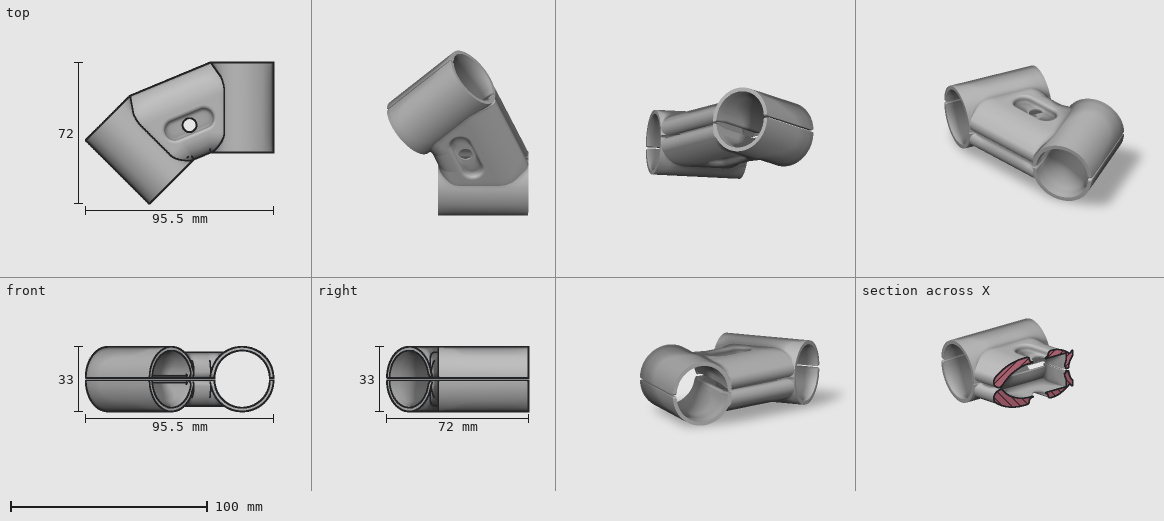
import cadquery as cq
import math


sleeve_radius = 16.0
wall = 2.0
bore_radius = sleeve_radius - wall
sleeve_length = 45.9
sleeve_spacing = 56.3
sleeve_tilt = 22.5
split_gap = 1.0
outer_end_round = 1.0

web_height = 13.2
front_top_round = 10.1
front_split_round = web_height - front_top_round
back_top_round = 22.0
back_split_round = 4.1

cavity_height = 9.1
front_wall = 3.25
back_wall = 4.6
cavity_back_round = 18.15

notch_depth = 1.2
notch_ramp_length = 10.0
notch_lip_round = 1.0

seat_spacing = 16.0
seat_radius = 5.1
seat_lip_round = 1.7
seat_floor_round = 1.6
seat_depth = seat_lip_round + seat_floor_round
seat_from_back = 24.9
bolt_hole_diameter = 7.0
bolt_hole_from_back = 25.4

half_length = sleeve_length / 2
tilt = math.radians(sleeve_tilt)
half_root = math.sqrt(0.5)
tolerance = 0.01


def on_sleeve(along, across):
    """Plan point of the +X sleeve: along its axis, and across it (outward positive)."""
    x = sleeve_spacing / 2 + along * math.sin(tilt) + across * math.cos(tilt)
    y = along * math.cos(tilt) - across * math.sin(tilt)
    return (x, y)


def opposite(point):
    """The same plan point on the -X sleeve."""
    return (-point[0], point[1])


center = on_sleeve(0, 0)
back_corner = on_sleeve(half_length, -sleeve_radius)
front_corner = on_sleeve(-half_length, -sleeve_radius)
front_end = on_sleeve(-half_length, 0)
back_y = back_corner[1]
front_y = front_corner[1]
front_edge = [front_end, front_corner, opposite(front_corner), opposite(front_end)]


def place_on_sleeve(shape):
    """Move a shape made along the Y axis onto the +X sleeve axis."""
    return shape.rotate((0, 0, 0), (0, 0, 1), -sleeve_tilt).translate((*center, 0))


def sleeve_bar(radius):
    """Half-round bar on the +X sleeve axis, flat side on the split face."""
    bar = cq.Workplane("XZ").moveTo(-radius, 0).threePointArc((0, radius), (radius, 0)).close()
    bar = bar.extrude(half_length, both=True)
    return place_on_sleeve(bar)


def with_mirror(shape):
    """A shape on the +X side together with its copy on the -X side."""
    return shape.union(shape.mirror("YZ"))


def web_profile():
    """Side profile of the web, extruded along X: flat top, rounded down to the split at the back."""
    cos_join = (back_top_round + back_split_round - web_height) / (back_top_round - back_split_round)
    join = math.acos(cos_join)
    low_y = back_y - back_split_round
    low_z = back_split_round
    top_y = low_y - (back_top_round - back_split_round) * math.sin(join)
    top_z = web_height - back_top_round

    def top_arc(angle):
        return (top_y + back_top_round * math.sin(angle), top_z + back_top_round * math.cos(angle))

    return (
        cq.Workplane("YZ")
        .moveTo(front_y - sleeve_length, 0)
        .lineTo(low_y, 0)
        .threePointArc((back_y, low_z), top_arc(join))
        .threePointArc(top_arc(join / 2), top_arc(0))
        .lineTo(front_y - sleeve_length, web_height)
        .close()
        .extrude(sleeve_spacing, both=True)
    )


def edge_cutter(points, radius, up):
    """Waste left outside a round along a chain of edges; up is 1 for a lower edge, -1 for an upper one."""
    start = cq.Vector(*points[0], 0)
    direction = cq.Vector(*points[1], 0) - start
    inward = cq.Vector(0, 0, 1).cross(direction) * -1
    plane = cq.Plane(origin=start, xDir=inward, normal=direction)
    path = cq.Workplane("XY").polyline(points)
    rise = radius * plane.yDir.z * up
    near = radius * (1 - half_root)
    return (
        cq.Workplane(plane)
        .lineTo(radius, 0)
        .threePointArc((near, near * rise / radius), (0, rise))
        .close()
        .sweep(path, transition="right")
    )


def web():
    """Solid web with its front and back edges rounded."""
    plan = [center, *front_edge, opposite(center), opposite(back_corner), back_corner]
    block = cq.Workplane("XY").polyline(plan).close().extrude(web_height)
    block = block.cut(edge_cutter(front_edge, front_top_round, -1).translate((0, 0, web_height)))
    return block.intersect(web_profile())


def web_cavity():
    """Hollow of the web: flat roof, upright front wall and a back wall that curves down to the split."""
    wall_corner = (front_corner[0], front_y + front_wall)
    wall_end = on_sleeve(-half_length + front_wall, 0)
    plan = [wall_end, wall_corner, opposite(wall_corner), opposite(wall_end)]
    plan += [opposite(back_corner), back_corner]
    block = cq.Workplane("XY").polyline(plan).close().extrude(cavity_height)
    foot_y = back_y - back_wall
    arc_center_z = cavity_height - cavity_back_round
    foot_angle = math.acos(-arc_center_z / cavity_back_round)
    arc_center_y = foot_y - cavity_back_round * math.sin(foot_angle)
    arc_middle = (
        arc_center_y + cavity_back_round * math.sin(foot_angle / 2),
        arc_center_z + cavity_back_round * math.cos(foot_angle / 2),
    )
    profile = (
        cq.Workplane("YZ")
        .moveTo(front_y, 0)
        .lineTo(foot_y, 0)
        .threePointArc(arc_middle, (arc_center_y, cavity_height))
        .lineTo(front_y, cavity_height)
        .close()
        .extrude(sleeve_spacing, both=True)
    )
    return block.intersect(profile)


def notch():
    """Notch in the web side of the +X sleeve wall, open at the split face."""
    bar = (
        cq.Workplane("YZ")
        .moveTo(-half_length + front_wall, 0)
        .lineTo(half_length, 0)
        .lineTo(half_length - notch_ramp_length, notch_depth)
        .lineTo(-half_length + front_wall, notch_depth)
        .close()
        .extrude(-sleeve_radius)
    )
    return place_on_sleeve(bar)


def seat_section(plane):
    """Half section of the bolt seat on a plane whose origin is on the web top."""
    floor_radius = seat_radius - seat_floor_round
    floor_middle = (floor_radius + seat_floor_round * half_root, -seat_depth + seat_floor_round * (1 - half_root))
    lip_radius = seat_radius + seat_lip_round
    lip_middle = (lip_radius - seat_lip_round * half_root, -seat_lip_round * (1 - half_root))
    return (
        cq.Workplane(plane)
        .lineTo(0, -seat_depth)
        .lineTo(floor_radius, -seat_depth)
        .threePointArc(floor_middle, (seat_radius, -seat_lip_round))
        .threePointArc(lip_middle, (lip_radius, 0))
        .close()
    )


def bolt_seat():
    """Slot with a rounded lip and a rounded floor, sunk in the web top."""
    seat_y = back_y - seat_from_back
    end_x = seat_spacing / 2
    start = (-end_x, seat_y, web_height)
    front_side = cq.Plane(origin=start, xDir=(0, -1, 0), normal=(-1, 0, 0))
    back_side = cq.Plane(origin=start, xDir=(0, 1, 0), normal=(1, 0, 0))
    seat = seat_section(back_side).extrude(seat_spacing)
    seat = seat.union(seat_section(front_side).extrude(-seat_spacing))
    for x in (-end_x, end_x):
        end_plane = cq.Plane(origin=(x, seat_y, web_height), xDir=(1, 0, 0), normal=(0, -1, 0))
        seat = seat.union(seat_section(end_plane).revolve(360, (0, 0), (0, 1)))
    return seat


def bolt_hole():
    """Round hole through the web at the bolt seat."""
    hole = cq.Workplane("XY").center(0, back_y - bolt_hole_from_back).circle(bolt_hole_diameter / 2)
    return hole.extrude(web_height)


def on_notch_lip(edge):
    """True for the edges where the notch ceiling breaks into a bore."""
    middle = edge.positionAt(0.5)
    x = abs(middle.x) - center[0]
    across = x * math.cos(tilt) - middle.y * math.sin(tilt)
    along = x * math.sin(tilt) + middle.y * math.cos(tilt)
    on_bore = abs(math.hypot(across, middle.z) - bore_radius) < tolerance
    clear_of_front = along > -half_length + front_wall + tolerance
    on_ceiling = 0.1 < middle.z < notch_depth + tolerance
    return on_bore and across < 0 and clear_of_front and on_ceiling


def outer_end_cutter(along):
    """Waste outside the round between an end face and the split face, outer side of the +X sleeve."""
    points = [on_sleeve(along, 0), on_sleeve(along, sleeve_radius + wall)]
    if along < 0:
        points.reverse()
    return edge_cutter(points, outer_end_round, 1)


def clamp_half():
    """Upper clamp half, turned into place above the split gap."""
    hollow_web = web().cut(web_cavity()).cut(bolt_seat()).cut(bolt_hole())
    body = with_mirror(sleeve_bar(sleeve_radius)).union(hollow_web)
    body = body.cut(with_mirror(sleeve_bar(bore_radius)))
    body = body.cut(edge_cutter(front_edge, front_split_round, 1))
    for along in (-half_length, half_length):
        body = body.cut(with_mirror(outer_end_cutter(along)))
    body = body.cut(with_mirror(notch()))
    lip_edges = [edge for edge in body.edges().vals() if on_notch_lip(edge)]
    body = body.newObject(lip_edges).fillet(notch_lip_round)
    return body.rotate((0, 0, 0), (0, 0, 1), sleeve_tilt).translate((0, 0, split_gap / 2))


upper_half = clamp_half()
lower_half = upper_half.mirror("XY")

result = cq.Compound.makeCompound([upper_half.val(), lower_half.val()])